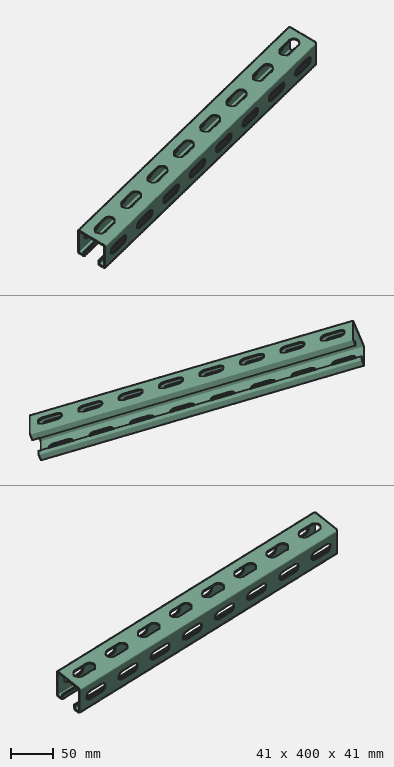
import cadquery as cq

length = 400.0
width = 41.0
height = 41.0
thickness = 2.0
bend_radius = 3.0
lip_bend_radius = 2.2
opening = 20.0
lip_height = 7.0

slot_count = 8
slot_pitch = length / slot_count
slot_length = 30.0
slot_width = 13.0

half_width = width / 2
half_height = height / 2


def extrude_along_length(sketch):
    return sketch.extrude(length / 2, both=True)


def rounded_box(box_width, box_height, corner_radius):
    """Full-length rectangular bar with rounded long edges."""
    bar = extrude_along_length(cq.Workplane("XZ").rect(box_width, box_height))
    return bar.edges("|Y").fillet(corner_radius)


def square_tube():
    outer = rounded_box(width, height, bend_radius)
    inner = rounded_box(width - 2 * thickness, height - 2 * thickness, bend_radius - thickness)
    return outer.cut(inner)


def bottom_opening():
    """Block that removes the tube floor between the outer ends of the lip bends."""
    gap = opening + 2 * lip_bend_radius
    return cq.Workplane("XY").box(gap, length, 2 * bend_radius).translate((0, 0, -half_height))


def right_lip():
    """Bend and upright lip on the +X flange, with a concentric inner bend."""
    lip_face = opening / 2
    bend_end = lip_face + lip_bend_radius
    bend_top = lip_bend_radius - half_height
    lip_top = lip_height - half_height
    inner_radius = lip_bend_radius - thickness
    diagonal = 0.5 ** 0.5
    outer_mid = (bend_end - lip_bend_radius * diagonal, bend_top - lip_bend_radius * diagonal)
    inner_mid = (bend_end - inner_radius * diagonal, bend_top - inner_radius * diagonal)
    profile = (
        cq.Workplane("XZ")
        .moveTo(bend_end, -half_height)
        .threePointArc(outer_mid, (lip_face, bend_top))
        .lineTo(lip_face, lip_top)
        .lineTo(lip_face + thickness, lip_top)
        .lineTo(lip_face + thickness, bend_top)
        .threePointArc(inner_mid, (bend_end, thickness - half_height))
        .close()
    )
    return extrude_along_length(profile)


def slot_row(plane, depth):
    """Row of lengthwise slots reaching the given depth to both sides of a plane."""
    first = -(slot_count - 1) * slot_pitch / 2
    centers = [(0, first + index * slot_pitch) for index in range(slot_count)]
    slots = cq.Workplane(plane).pushPoints(centers).slot2D(slot_length, slot_width, 90)
    return slots.extrude(depth, both=True)


lip = right_lip()
channel = square_tube().cut(bottom_opening()).union(lip).union(lip.mirror("YZ"))

top_slots = slot_row("XY", thickness).translate((0, 0, half_height))
side_plane = cq.Plane(origin=(0, 0, 0), xDir=(0, 0, 1), normal=(1, 0, 0))
side_slots = slot_row(side_plane, half_width)

result = channel.cut(top_slots).cut(side_slots)